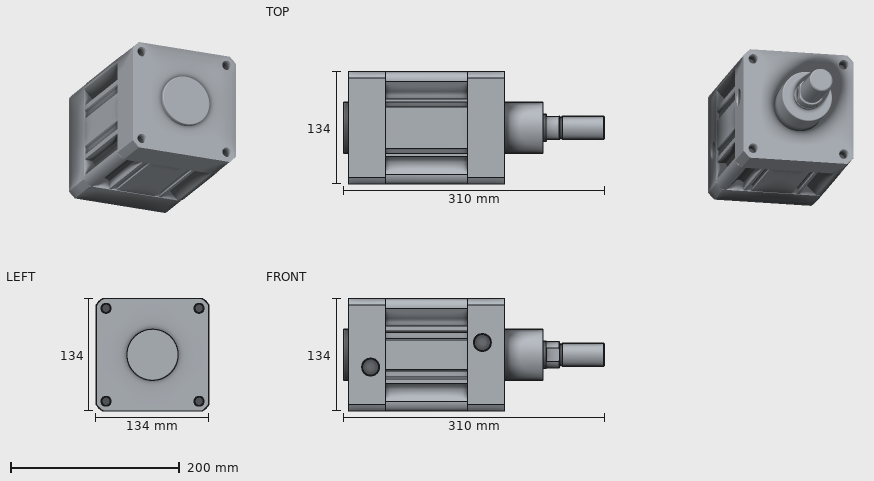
import cadquery as cq

rear_hub_length = 6.0
cap_length = 44.0
barrel_length = 97.3
nose_length = 45.5
collar_length = 3.7
overall_length = 310.0

rear_cap_x = rear_hub_length
barrel_x = rear_cap_x + cap_length
front_cap_x = barrel_x + barrel_length
nose_x = front_cap_x + cap_length
collar_x = nose_x + nose_length
collar_end_x = collar_x + collar_length

cap_width = 134.0
half_width = cap_width / 2
cap_corner_radius = 89.3
hub_radius = 30.5
hub_edge_radius = 1.1
collar_radius = 16.5

tie_rod_offset = 55.2
column_radius = half_width - tie_rod_offset
tie_hole_radius = 5.0
tie_hole_depth = 18.5
port_radius = 9.5
port_depth = 18.5
port_height = 14.5
port_from_barrel = 17.7
countersink_step = 1.0
countersink_depth = 2.2

panel_recess = 0.5
panel_half_width = 34.0
panel_level = half_width - panel_recess
pocket_wall_foot = 56.0
pocket_arc_start = (37.8, 54.0)
pocket_arc_end = (42.8, 54.5)
side_slot_inner = 17.5
side_slot_outer = 28.5
side_slot_depth = 2.5
side_slot_wall_run = 2.0
t_slot_inner = 24.8
t_slot_outer = 30.5
t_slot_lip = 2.2
t_slot_undercut = 1.5
t_slot_depth = 7.5

rod_radius = 15.8
collar_to_flats = 0.5
flats_length = 15.2
flats_width = 27.3
shoulder_chamfer = 0.5
neck_length = 3.5
neck_radius = 12.0
thread_radius = 13.8
thread_chamfer = 1.2


def disc(x, radius, length):
    """Cylinder along X that starts at x."""
    return cq.Workplane("YZ", origin=(x, 0, 0)).circle(radius).extrude(length)


def countersunk_hole(start, direction, radius, depth):
    """Blind hole cutter with a countersunk mouth, running from start along direction."""
    point = cq.Vector(*start)
    axis = cq.Vector(*direction)
    hole = cq.Solid.makeCylinder(radius, depth, point, axis)
    mouth = cq.Solid.makeCone(radius + countersink_step, radius, countersink_depth, point, axis)
    return cq.Workplane(obj=hole.fuse(mouth))


def cap_block(x, outer_face_x, inward, port_x, port_z):
    """Square cap with turned corners, four tie-rod holes in its outer face and a port."""
    block = cq.Workplane("YZ", origin=(x, 0, 0)).rect(cap_width, cap_width).extrude(cap_length)
    block = block.intersect(disc(x, cap_corner_radius, cap_length))
    for y in (-tie_rod_offset, tie_rod_offset):
        for z in (-tie_rod_offset, tie_rod_offset):
            start = (outer_face_x, y, z)
            block = block.cut(countersunk_hole(start, (inward, 0, 0), tie_hole_radius, tie_hole_depth))
    port_start = (port_x, -half_width, port_z)
    return block.cut(countersunk_hole(port_start, (0, 1, 0), port_radius, port_depth))


def build_rear_cap():
    cap = cap_block(rear_cap_x, rear_cap_x, 1, barrel_x - port_from_barrel, -port_height)
    hub = disc(0, hub_radius, rear_hub_length).faces("<X").fillet(hub_edge_radius)
    return cap.union(hub)


def build_front_cap():
    cap = cap_block(front_cap_x, nose_x, -1, front_cap_x + port_from_barrel, port_height)
    nose = disc(nose_x, hub_radius, nose_length).faces(">X").fillet(hub_edge_radius)
    collar = disc(collar_x, collar_radius, collar_length)
    rod_bore = disc(front_cap_x, rod_radius, collar_end_x - front_cap_x)
    return cap.union(nose).union(collar).cut(rod_bore)


def barrel_sketch():
    return cq.Workplane("YZ", origin=(barrel_x, 0, 0))


def panel_and_pocket_cutter():
    """Half of one side's relief: the recessed panel and the pocket beside the column."""
    return (
        barrel_sketch()
        .moveTo(0, half_width)
        .lineTo(0, panel_level)
        .lineTo(panel_half_width, panel_level)
        .lineTo(panel_half_width, pocket_wall_foot)
        .lineTo(*pocket_arc_start)
        .tangentArcPoint(pocket_arc_end, relative=False)
        .lineTo(tie_rod_offset, half_width)
        .close()
        .extrude(barrel_length)
    )


def t_slot_cutter():
    """Undercut slot in the upper panel."""
    lip_level = panel_level - t_slot_lip
    floor_level = panel_level - t_slot_depth
    opening = (
        barrel_sketch()
        .moveTo(t_slot_inner, floor_level)
        .lineTo(t_slot_inner, half_width)
        .lineTo(t_slot_outer, half_width)
        .lineTo(t_slot_outer, floor_level)
        .close()
        .extrude(barrel_length)
    )
    cavity = (
        barrel_sketch()
        .moveTo(t_slot_inner - t_slot_undercut, floor_level)
        .lineTo(t_slot_inner - t_slot_undercut, lip_level)
        .lineTo(t_slot_outer + t_slot_undercut, lip_level)
        .lineTo(t_slot_outer + t_slot_undercut, floor_level)
        .close()
        .extrude(barrel_length)
    )
    return opening.union(cavity)


def side_slot_cutter():
    """Shallow slot with sloping walls, placed in the upper panel."""
    floor_level = panel_level - side_slot_depth
    return (
        barrel_sketch()
        .moveTo(side_slot_inner, panel_level)
        .lineTo(side_slot_inner + side_slot_wall_run, floor_level)
        .lineTo(side_slot_outer - side_slot_wall_run, floor_level)
        .lineTo(side_slot_outer, panel_level)
        .close()
        .extrude(barrel_length)
    )


def build_barrel():
    barrel = barrel_sketch().rect(cap_width, cap_width).extrude(barrel_length)
    barrel = barrel.edges("|X").fillet(column_radius)
    for turn in (0, 90, 180, 270):
        slot = t_slot_cutter() if turn % 180 == 0 else side_slot_cutter()
        for cutter in (panel_and_pocket_cutter(), slot):
            for half in (cutter, cutter.mirror("XZ")):
                barrel = barrel.cut(half.rotate((0, 0, 0), (1, 0, 0), turn))
    return barrel


def build_rod():
    flats_x = collar_end_x + collar_to_flats
    neck_x = flats_x + flats_length
    thread_x = neck_x + neck_length
    rod = (
        cq.Workplane("XZ")
        .moveTo(front_cap_x, 0)
        .lineTo(front_cap_x, rod_radius)
        .lineTo(neck_x - shoulder_chamfer, rod_radius)
        .lineTo(neck_x, rod_radius - shoulder_chamfer)
        .lineTo(neck_x, thread_radius)
        .lineTo(neck_x + neck_length / 2, neck_radius)
        .lineTo(thread_x, thread_radius)
        .lineTo(overall_length - thread_chamfer, thread_radius)
        .lineTo(overall_length, thread_radius - thread_chamfer)
        .lineTo(overall_length, 0)
        .close()
        .revolve(360, (0, 0, 0), (1, 0, 0))
    )
    for side in (-1, 1):
        flat_center = (flats_x + flats_length / 2, side * (flats_width / 2 + rod_radius / 2), 0)
        rod = rod.cut(cq.Workplane(origin=flat_center).box(flats_length, rod_radius, 2 * rod_radius))
    return rod


rear_cap = build_rear_cap()
barrel = build_barrel()
front_cap = build_front_cap()
rod = build_rod()

result = cq.Compound.makeCompound([rear_cap.val(), barrel.val(), front_cap.val(), rod.val()])